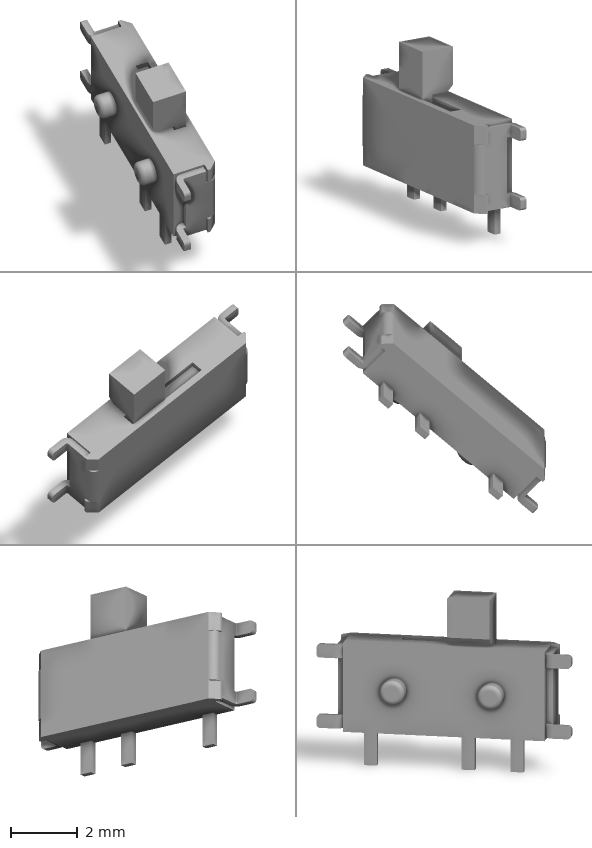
import cadquery as cq


overall_width = 7.8

body_width = 6.18
body_depth = 1.36
body_height = 2.75
body_half_width = body_width / 2
body_half_height = body_height / 2

slot_width = 2.885
slot_front = 0.75
slot_back = 1.15
slot_depth = 0.195

knob_x = 0.75
knob_width = 1.3
knob_height = 1.5
knob_front = 0.07
knob_back = 1.155
knob_gap = 0.11
knob_chamfer = 0.19
neck_front = 0.795

peg_spacing = 2.995
peg_diameter = 0.75
peg_length = 0.49
peg_rounding = 0.15

pin_positions = (-2.25, 0.75, 2.25)
pin_width = 0.4
pin_length = 1.0
pin_thickness = 0.21

sheet = 0.21
plate_height = 2.575
plate_front = 0.31
plate_notch = 0.98
wrap_height = 1.56
bend_inner_radius = 0.05
bend_outer_radius = bend_inner_radius + sheet
plate_outer = body_half_width + sheet

leg_width = 0.4
leg_spacing = plate_height - leg_width
left_leg_reach = 3.89
right_leg_reach = overall_width - left_leg_reach
left_leg_rounding = 0.09
right_leg_rounding = 0.125

tab_reach = 0.26
tab_front = 1.015
tab_height = 0.58
tab_chamfer = 0.26


def block(x_range, y_range, z_range):
    """Axis-aligned box given by its (low, high) limits."""
    size = [high - low for low, high in (x_range, y_range, z_range)]
    corner = (x_range[0], y_range[0], z_range[0])
    return cq.Workplane("XY").box(*size, centered=False).translate(corner)


def extrude_z(outline, bottom, top):
    """Extrude a closed XY outline between two heights."""
    return outline.extrude(top - bottom).translate((0, 0, bottom))


def make_housing():
    housing = block(
        (-body_half_width, body_half_width),
        (0, body_depth),
        (-body_half_height, body_half_height),
    )
    slot = block(
        (-slot_width / 2, slot_width / 2),
        (slot_front, slot_back),
        (body_half_height - slot_depth, body_half_height),
    )
    return housing.cut(slot)


def make_knob():
    slot_floor = body_half_height - slot_depth
    underside = body_half_height + knob_gap
    top = body_half_height + knob_height
    head = (
        cq.Workplane("YZ")
        .moveTo(neck_front, body_half_height)
        .lineTo(neck_front, underside)
        .lineTo(knob_front + knob_chamfer, underside)
        .lineTo(knob_front, underside + knob_chamfer)
        .lineTo(knob_front, top)
        .lineTo(knob_back, top)
        .lineTo(knob_back, body_half_height)
        .close()
        .extrude(knob_width / 2, both=True)
        .translate((knob_x, 0, 0))
    )
    neck = block(
        (knob_x - knob_width / 2, knob_x + knob_width / 2),
        (neck_front, slot_back),
        (slot_floor, body_half_height),
    )
    return head.union(neck)


def make_pegs():
    return (
        cq.Workplane("XZ")
        .pushPoints([(-peg_spacing / 2, 0), (peg_spacing / 2, 0)])
        .circle(peg_diameter / 2)
        .extrude(peg_length)
        .faces("<Y")
        .edges()
        .fillet(peg_rounding)
    )


def make_pin(x):
    return block(
        (x - pin_width / 2, x + pin_width / 2),
        (0, pin_thickness),
        (-body_half_height - pin_length, -body_half_height),
    )


def make_end_plate():
    """Right-hand end plate, rounded where it wraps around the back."""
    plate = block(
        (body_half_width, plate_outer),
        (plate_front, plate_notch),
        (-plate_height / 2, plate_height / 2),
    )
    wrap = (
        block(
            (body_half_width - bend_outer_radius, plate_outer),
            (plate_front, body_depth),
            (-wrap_height / 2, wrap_height / 2),
        )
        .edges(">X and >Y")
        .fillet(bend_outer_radius)
    )
    return plate.union(wrap)


def make_leg(z, reach, rounding):
    """Right-hand leg: runs along the end plate, then bends outward."""
    bend_end = body_half_width + bend_outer_radius
    outline = (
        cq.Workplane("XY")
        .moveTo(body_half_width, plate_front)
        .lineTo(body_half_width, bend_outer_radius)
        .radiusArc((bend_end, 0), -bend_outer_radius)
        .lineTo(reach, 0)
        .lineTo(reach, sheet)
        .lineTo(bend_end, sheet)
        .radiusArc((plate_outer, bend_outer_radius), bend_inner_radius)
        .lineTo(plate_outer, plate_front)
        .close()
    )
    leg = extrude_z(outline, z - leg_width / 2, z + leg_width / 2)
    return leg.faces(">X").edges("|Y").fillet(rounding)


def make_corner_tab():
    """Upper right-hand tab, chamfered toward the back."""
    tip = body_half_width + tab_reach
    outline = (
        cq.Workplane("XY")
        .moveTo(body_half_width, tab_front)
        .lineTo(tip, tab_front)
        .lineTo(tip, body_depth - tab_chamfer)
        .lineTo(tip - tab_chamfer, body_depth)
        .close()
    )
    return extrude_z(outline, body_half_height - tab_height, body_half_height)


def make_end(reach, rounding):
    """Everything on the right-hand end of the housing."""
    tab = make_corner_tab()
    end = make_end_plate().union(tab).union(tab.mirror("XY"))
    for z in (-leg_spacing / 2, leg_spacing / 2):
        end = end.union(make_leg(z, reach, rounding))
    return end


result = make_housing().union(make_knob()).union(make_pegs())
for pin_x in pin_positions:
    result = result.union(make_pin(pin_x))
result = result.union(make_end(right_leg_reach, right_leg_rounding))
result = result.union(make_end(left_leg_reach, left_leg_rounding).mirror("YZ"))